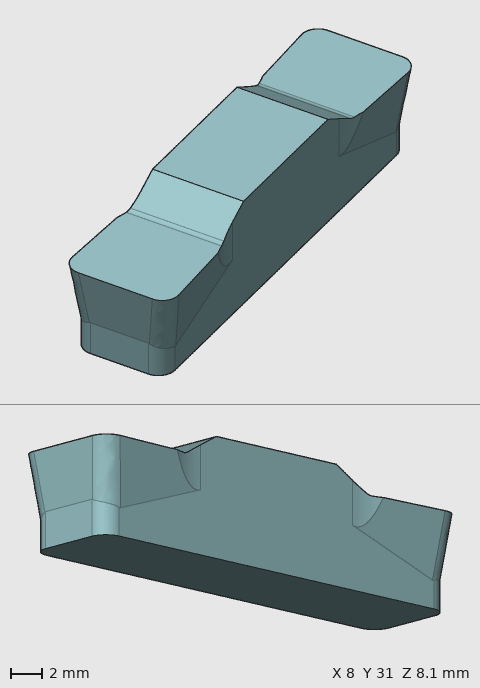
import cadquery as cq
import math

length = 31.0
height = 8.1
body_width = 6.82
land_height = 6.48

crest_length = 10.48
shoulder_angle = 30.0
shoulder_root_radius = 0.8

relief_angle = 7.0
front_break_height = 2.45
corner_radius = 1.25
flare_inner_y = 6.63
flare_root_height = 4.3
flare_root_slope = 0.345
side_relief_radius = 7.97

relief_slope = math.tan(math.radians(relief_angle))
body_length = length - 2 * relief_slope * (land_height - front_break_height)


def side_profile():
    """Full-width prism with the lengthwise outline: two lands and a raised crest."""
    crest_end = crest_length / 2
    shoulder_run = (height - land_height) / math.tan(math.radians(shoulder_angle))
    shoulder_root = crest_end + shoulder_run
    prism_width = 2 * body_width
    profile = (
        cq.Workplane("YZ")
        .polyline([
            (-length / 2, 0),
            (length / 2, 0),
            (length / 2, land_height),
            (shoulder_root, land_height),
            (crest_end, height),
            (-crest_end, height),
            (-shoulder_root, land_height),
            (-length / 2, land_height),
        ])
        .close()
        .extrude(prism_width / 2, both=True)
    )
    for y in (-shoulder_root, shoulder_root):
        root_edge = cq.selectors.NearestToPointSelector((0, y, land_height))
        profile = profile.edges(root_edge).fillet(shoulder_root_radius)
    return profile


def flare_section(z):
    """Trapezoid corners of the unrounded front flare at height z."""
    front_y = -length / 2 + relief_slope * (land_height - z)
    inner_y = -flare_inner_y

    def half_width(y):
        root_z = flare_root_height + flare_root_slope * (y + flare_inner_y)
        return body_width / 2 + relief_slope * (z - root_z)

    front_x = half_width(front_y)
    inner_x = half_width(inner_y)
    return [(-front_x, front_y), (front_x, front_y), (inner_x, inner_y), (-inner_x, inner_y)]


def front_flare():
    """Flared end at -Y: relieved front and sides, rounded corners, curved run-in to the body."""
    flare = (
        cq.Workplane("XY")
        .polyline(flare_section(0))
        .close()
        .workplane(offset=height)
        .polyline(flare_section(height))
        .close()
        .loft(ruled=True)
    )
    mid_section = flare_section(height / 2)
    for x, y in mid_section[:2]:
        corner_edge = cq.selectors.NearestToPointSelector((x, y, height / 2))
        flare = flare.edges(corner_edge).fillet(corner_radius)

    relief_x = body_width / 2 + side_relief_radius
    side_reliefs = (
        cq.Workplane("XY")
        .pushPoints([(-relief_x, -flare_inner_y), (relief_x, -flare_inner_y)])
        .circle(side_relief_radius)
        .extrude(height)
    )
    return flare.cut(side_reliefs)


body = (
    cq.Workplane("XY")
    .rect(body_width, body_length)
    .extrude(height)
    .edges("|Z")
    .fillet(corner_radius)
)
flare = front_flare()
opposite_flare = flare.mirror("XZ")

result = body.union(flare).union(opposite_flare).intersect(side_profile())